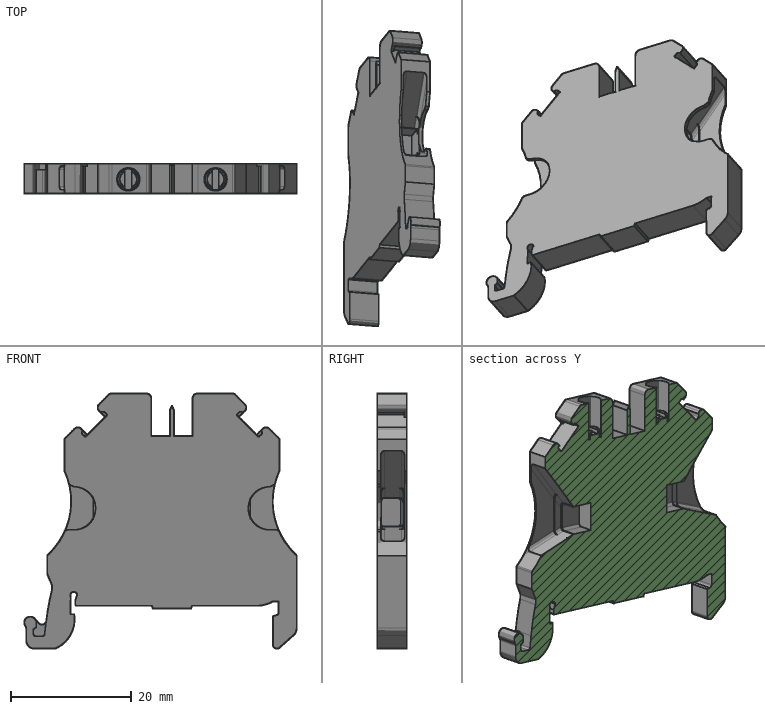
import cadquery as cq
import math

THICKNESS = 5.0
HEIGHT = 42.5

WAIST_Z = 15.5
WAIST_HALF = 20.75
HEAD_HALF = 17.9
HEAD_BASE_Z = 29.6
SCALLOP_HALF = 16.8
SCALLOP_Z = 24.5
SHOULDER_SUM = 52.8
SHOULDER_ROUND = 0.7

NOTCH_FLOOR_SUM = 49.65
NOTCH_UPPER_DIFF = 27.45
NOTCH_LOWER_DIFF = 21.5
NOSE_RADIUS = 0.73
UNDERCUT_DEPTH = 0.5
UNDERCUT_HEIGHT = 1.0
UNDERCUT_ROUND = 0.35
UNDERCUT_BACK_WALL = 0.45

GROOVE_HALF = 3.4
GROOVE_FLOOR_Z = 35.4
GROOVE_ROUND = 0.9
BLADE_HALF = 0.35
BLADE_SHOULDER_Z = 39.7
BLADE_TOP_Z = 40.45
BLADE_BACK_GAP = 0.25

WELL_X = 7.25
WELL_Y = 2.35
WELL_DIAMETER = 3.8
WELL_DEPTH = 6.35
SCREW_DIAMETER = 3.5
SCREW_TOP_DIAMETER = 2.8
SCREW_HEIGHT = 1.35
SCREW_SLOT_WIDTH = 1.15
SCREW_SLOT_DEPTH = 0.7

POCKET_FRONT_WALL = 0.6
POCKET_BACK_WALL = 0.35
POCKET_ROUND = 0.6
POCKET_END_HALF = 11.8
POCKET_CEILING_Z = 25.12
POCKET_FLOOR_Z = 20.25
CEILING_SLOPE = 1.27
FLOOR_SLOPE = 0.34
POCKET_REACH = 10.45

POCKET_STEP_HALF = 13.05
CHANNEL_FRONT_WALL = 0.7
INNER_BACK_WALL = 0.65
THROAT_DEPTH = 3.65
THROAT_OVERLAP = 0.05
THROAT_BACK_WALL = 1.05
THROAT_STEP = 0.1
THROAT_ROUND = 0.5

WINDOW_RADIUS = 3.6
WINDOW_X = 16.3
WINDOW_Z = 23.35
WINDOW_TOP_RISE = 0.75
WINDOW_BOTTOM_END = 17.45
WINDOW_BOTTOM_DROP = 2.25

HOOK_X = -24.25
HOOK_CORNER_RADIUS = 1.4
HOOK_POCKET_FLOOR_Z = 2.1
HOOK_POCKET_LEFT = -23.05
HOOK_POCKET_RIGHT = -21.22
HOOK_POCKET_ROUND = 0.35
HOOK_WEB = 1.05
HOOK_OPENING_Z = 5.45
HOOK_LIP_X = -22.55
WEB_END = (-20.95, 4.45)
WAIST_ROUND = 0.35

FOOT_INNER_X = 16.8
FOOT_RELIEF_X = 17.7
FOOT_RELIEF_Z = 7.85
FOOT_TOE_RADIUS = 0.7
FOOT_CORNER_Z = 2.7
FOOT_ROUND = 1.65

BASE_Z = 7.1
PAD_Z = 6.65
PAD_HALF = 3.17
PAD_CHAMFER = 0.2


def prism(outline, y_start, y_end):
    """Extrude an XZ outline between two Y positions."""
    return outline.extrude(-(y_end - y_start)).translate((0, y_start, 0))


def xz_polygon(points):
    return cq.Workplane("XZ").polyline(points).close()


def diagonal_point(total, difference):
    """Point (x, z) with x + z = total and z - x = difference."""
    return ((total - difference) / 2, (total + difference) / 2)


def fillet_at(body, points, radius):
    """Round the Y edges of a body that run through the given XZ points."""
    reach = 0.05
    for x, z in points:
        box = cq.selectors.BoxSelector(
            (x - reach, -reach, z - reach), (x + reach, THICKNESS + reach, z + reach)
        )
        body = body.edges("|Y").edges(box).fillet(radius)
    return body


def notch_undercut(wall_diff, outward):
    """Rounded recess behind one notch wall; outward is +1 for the upper wall, -1 for the lower."""
    root_two = math.sqrt(2)
    top_sum = NOTCH_FLOOR_SUM + UNDERCUT_HEIGHT * root_two
    deep_diff = wall_diff + outward * UNDERCUT_DEPTH * root_two
    inner_diff = wall_diff - outward * UNDERCUT_DEPTH * root_two
    deep_top = diagonal_point(top_sum, deep_diff)
    outline = xz_polygon([
        diagonal_point(NOTCH_FLOOR_SUM, inner_diff),
        diagonal_point(NOTCH_FLOOR_SUM, deep_diff),
        deep_top,
        diagonal_point(top_sum, inner_diff),
    ])
    recess = prism(outline, 0, THICKNESS - UNDERCUT_BACK_WALL)
    return fillet_at(recess, [deep_top], UNDERCUT_ROUND)


def upper_half():
    shoulder_top = (SHOULDER_SUM - HEIGHT, HEIGHT)
    outline = (
        cq.Workplane("XZ")
        .moveTo(0, WAIST_Z)
        .lineTo(WAIST_HALF, WAIST_Z)
        .threePointArc((SCALLOP_HALF, SCALLOP_Z), (HEAD_HALF, HEAD_BASE_Z))
        .lineTo(HEAD_HALF, SHOULDER_SUM - HEAD_HALF)
        .lineTo(*shoulder_top)
        .lineTo(GROOVE_HALF, HEIGHT)
        .lineTo(GROOVE_HALF, GROOVE_FLOOR_Z)
        .lineTo(0, GROOVE_FLOOR_Z)
        .close()
    )
    half = prism(outline, 0, THICKNESS)
    notch = xz_polygon([
        diagonal_point(NOTCH_FLOOR_SUM, NOTCH_UPPER_DIFF),
        diagonal_point(SHOULDER_SUM, NOTCH_UPPER_DIFF),
        diagonal_point(SHOULDER_SUM, NOTCH_LOWER_DIFF),
        diagonal_point(NOTCH_FLOOR_SUM, NOTCH_LOWER_DIFF),
    ])
    half = half.cut(prism(notch, 0, THICKNESS))
    noses = [
        diagonal_point(SHOULDER_SUM, NOTCH_UPPER_DIFF),
        diagonal_point(SHOULDER_SUM, NOTCH_LOWER_DIFF),
    ]
    half = fillet_at(half, noses, NOSE_RADIUS)
    half = fillet_at(half, [shoulder_top], SHOULDER_ROUND)
    half = fillet_at(half, [(GROOVE_HALF, HEIGHT)], GROOVE_ROUND)
    half = half.cut(notch_undercut(NOTCH_UPPER_DIFF, 1))
    half = half.cut(notch_undercut(NOTCH_LOWER_DIFF, -1))
    return half


def flared_pocket(x_start, front_wall, back_wall):
    """Flared wire passage from x_start outwards, with floor and ceiling rounded into its sides."""
    x_end = POCKET_END_HALF + POCKET_REACH

    def floor_z(x):
        return POCKET_FLOOR_Z - FLOOR_SLOPE * (x - POCKET_END_HALF)

    def ceiling_z(x):
        return POCKET_CEILING_Z + CEILING_SLOPE * (x - POCKET_END_HALF)

    outline = xz_polygon([
        (x_start, floor_z(x_start)),
        (x_end, floor_z(x_end)),
        (x_end, ceiling_z(x_end)),
        (x_start, ceiling_z(x_start)),
    ])
    pocket = prism(outline, front_wall, THICKNESS - back_wall)
    return pocket.edges("#Y").edges("not |Z").fillet(POCKET_ROUND)


def wire_throat():
    """Level channel behind the pocket, rounded along its back edges."""
    length = THROAT_DEPTH + THROAT_OVERLAP
    height = POCKET_CEILING_Z - POCKET_FLOOR_Z - 2 * THROAT_STEP
    width = THICKNESS - CHANNEL_FRONT_WALL - THROAT_BACK_WALL
    throat = cq.Workplane("XY").box(length, width, height, centered=False)
    throat = throat.faces(">Y").edges("|X").fillet(THROAT_ROUND)
    corner = (POCKET_END_HALF - THROAT_DEPTH, CHANNEL_FRONT_WALL, POCKET_FLOOR_Z + THROAT_STEP)
    return throat.translate(corner)


def wire_entry():
    pocket = flared_pocket(POCKET_STEP_HALF, POCKET_FRONT_WALL, POCKET_BACK_WALL)
    inner_pocket = flared_pocket(POCKET_END_HALF, CHANNEL_FRONT_WALL, INNER_BACK_WALL)
    return pocket.union(inner_pocket).union(wire_throat())


def pocket_window():
    top_z = WINDOW_Z + WINDOW_RADIUS
    bottom_z = WINDOW_Z - WINDOW_RADIUS
    outline = (
        cq.Workplane("XZ")
        .moveTo(WINDOW_X, bottom_z)
        .threePointArc((WINDOW_X - WINDOW_RADIUS, WINDOW_Z), (WINDOW_X, top_z))
        .lineTo(HEAD_HALF, top_z + WINDOW_TOP_RISE)
        .lineTo(WAIST_HALF, top_z)
        .lineTo(WAIST_HALF, bottom_z - WINDOW_BOTTOM_DROP)
        .lineTo(WINDOW_BOTTOM_END, bottom_z)
        .close()
    )
    return prism(outline, 0, CHANNEL_FRONT_WALL)


def screw_well():
    floor_z = HEIGHT - WELL_DEPTH
    screw_top_z = floor_z + SCREW_HEIGHT
    well = (
        cq.Workplane("XY", origin=(WELL_X, WELL_Y, floor_z)).circle(WELL_DIAMETER / 2).extrude(WELL_DEPTH)
    )
    screw = (
        cq.Workplane("XY", origin=(WELL_X, WELL_Y, floor_z))
        .circle(SCREW_DIAMETER / 2)
        .extrude(SCREW_HEIGHT)
        .faces(">Z")
        .chamfer((SCREW_DIAMETER - SCREW_TOP_DIAMETER) / 2)
    )
    slot = cq.Workplane("XY", origin=(WELL_X, WELL_Y, screw_top_z)).box(
        SCREW_SLOT_WIDTH, WELL_DIAMETER, 2 * SCREW_SLOT_DEPTH
    )
    return well.cut(screw.cut(slot))


def blade():
    outline = xz_polygon([
        (-BLADE_HALF, GROOVE_FLOOR_Z),
        (BLADE_HALF, GROOVE_FLOOR_Z),
        (BLADE_HALF, BLADE_SHOULDER_Z),
        (0, BLADE_TOP_Z),
        (-BLADE_HALF, BLADE_SHOULDER_Z),
    ])
    return prism(outline, 0, THICKNESS - BLADE_BACK_GAP)


def lower_body():
    outline = (
        cq.Workplane("XZ")
        .moveTo(-WAIST_HALF, WAIST_Z)
        .lineTo(-WAIST_HALF, 12.45)
        .lineTo(-20.0, 10.6)
        .threePointArc((-19.95, 10.15), (-20.0, 9.7))
        .threePointArc((-20.55, 7.15), WEB_END)
        .threePointArc((-21.55, 4.05), (-22.15, 4.2))
        .lineTo(-22.85, 5.05)
        .threePointArc((-24.6, 4.35), (-24.35, 3.7))
        .lineTo(HOOK_X, 3.35)
        .lineTo(HOOK_X, HOOK_CORNER_RADIUS)
        .radiusArc((HOOK_X + HOOK_CORNER_RADIUS, 0), -HOOK_CORNER_RADIUS)
        .lineTo(-19.4, 0)
        .threePointArc((-16.95, 2.15), (-16.25, 5.75))
        .lineTo(-16.85, 5.75)
        .lineTo(-16.82, 8.6)
        .threePointArc((-16.33, 9.45), (-15.8, 9.0))
        .lineTo(-16.1, 8.03)
        .lineTo(-16.1, 7.3)
        .lineTo(-15.9, BASE_Z)
        .lineTo(-PAD_HALF - PAD_CHAMFER, BASE_Z)
        .lineTo(-PAD_HALF, PAD_Z)
        .lineTo(PAD_HALF, PAD_Z)
        .lineTo(PAD_HALF + PAD_CHAMFER, BASE_Z)
        .lineTo(14.25, BASE_Z)
        .threePointArc((15.6, 7.35), (16.82, FOOT_RELIEF_Z))
        .lineTo(FOOT_RELIEF_X, FOOT_RELIEF_Z)
        .lineTo(FOOT_RELIEF_X, 6.05)
        .threePointArc((17.55, 5.65), (17.25, 5.6))
        .lineTo(FOOT_INNER_X, 5.4)
        .lineTo(FOOT_INNER_X, FOOT_TOE_RADIUS)
        .threePointArc((FOOT_INNER_X + FOOT_TOE_RADIUS, 0), (17.9, 0.2))
        .lineTo(WAIST_HALF, FOOT_CORNER_Z)
        .lineTo(WAIST_HALF, WAIST_Z)
        .close()
    )
    return fillet_at(prism(outline, 0, THICKNESS), [(WAIST_HALF, FOOT_CORNER_Z)], FOOT_ROUND)


def hook_pocket():
    """Recess in the hook, closed at the back by a thin web."""
    right_corner = (HOOK_POCKET_RIGHT, HOOK_POCKET_FLOOR_Z)
    left_corner = (HOOK_POCKET_LEFT, HOOK_POCKET_FLOOR_Z)
    outline = xz_polygon([
        WEB_END,
        right_corner,
        left_corner,
        (HOOK_POCKET_LEFT, 3.2),
        (HOOK_LIP_X, 3.65),
        (HOOK_LIP_X, HOOK_OPENING_Z),
        (WEB_END[0], HOOK_OPENING_Z),
    ])
    pocket = prism(outline, 0, THICKNESS - HOOK_WEB)
    return fillet_at(pocket, [right_corner, left_corner], HOOK_POCKET_ROUND)


body_half = upper_half().cut(wire_entry()).cut(pocket_window()).cut(screw_well())
result = lower_body().cut(hook_pocket())
result = result.union(body_half).union(body_half.mirror("YZ")).union(blade()).clean()
result = fillet_at(result, [(-WAIST_HALF, WAIST_Z)], WAIST_ROUND)